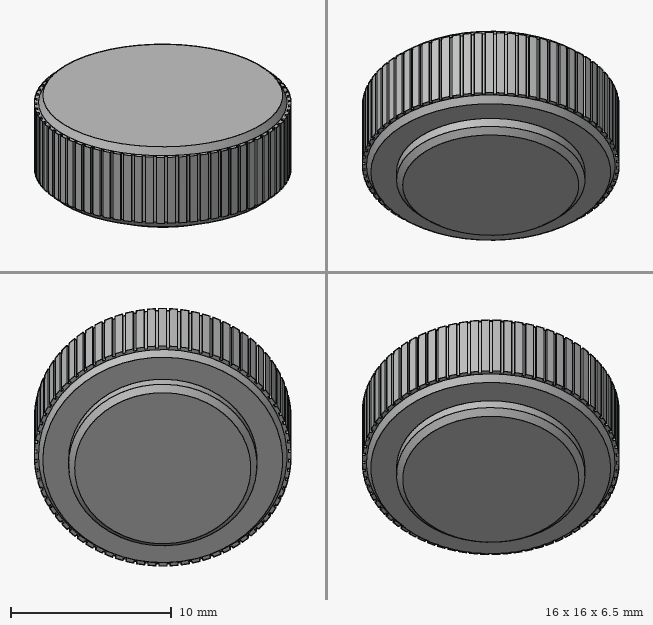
import cadquery as cq

cap_radius = 8.0
cap_height = 5.5
bevel_height = 0.48
bevel_base_radius = 7.75
bevel_face_radius = 7.47

groove_count = 72
groove_width = 0.2
groove_depth = 0.15

boss_height = 1.0
boss_radius = 5.87
boss_chamfer = 0.38

cap_bottom = boss_height
rim_bottom = cap_bottom + bevel_height
cap_top = cap_bottom + cap_height
rim_top = cap_top - bevel_height
rim_height = rim_top - rim_bottom


def make_body():
    """Revolve the half profile of boss, bevels and plain rim about Z."""
    profile = (
        cq.Workplane("XZ")
        .moveTo(0, 0)
        .lineTo(boss_radius - boss_chamfer, 0)
        .lineTo(boss_radius, boss_chamfer)
        .lineTo(boss_radius, cap_bottom)
        .lineTo(bevel_face_radius, cap_bottom)
        .lineTo(bevel_base_radius, rim_bottom)
        .lineTo(cap_radius, rim_bottom)
        .lineTo(cap_radius, rim_top)
        .lineTo(bevel_base_radius, rim_top)
        .lineTo(bevel_face_radius, cap_top)
        .lineTo(0, cap_top)
        .close()
    )
    return profile.revolve(360, (0, 0, 0), (0, 1, 0))


def make_groove_cutters():
    """Square-sided bars that overlap the rim by the groove depth."""
    bar_length = 2 * groove_depth
    return (
        cq.Workplane("XY")
        .workplane(offset=rim_bottom)
        .polarArray(cap_radius, 0, 360, groove_count)
        .rect(bar_length, groove_width)
        .extrude(rim_height)
    )


result = make_body().cut(make_groove_cutters())